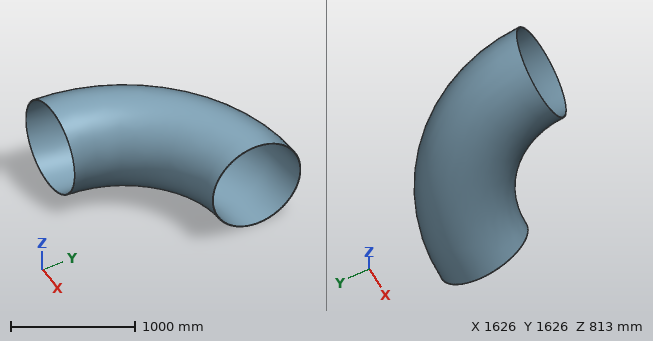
import cadquery as cq

pipe_diameter = 813.0
wall_thickness = 8.0
bend_radius = 1.5 * pipe_diameter
bend_angle = 90.0

pipe_radius = pipe_diameter / 2
bore_radius = pipe_radius - wall_thickness

pipe_section = (
    cq.Workplane("XZ")
    .center(-bend_radius, 0)
    .circle(pipe_radius)
    .circle(bore_radius)
)

axis_start = (bend_radius, 0)
axis_end = (bend_radius, -1)
result = pipe_section.revolve(bend_angle, axis_start, axis_end)